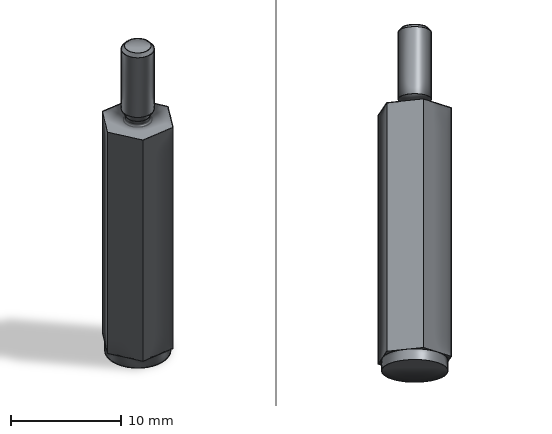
import cadquery as cq
import math

total_height = 33
stud_height = 8.0
body_height = total_height - stud_height

across_flats = 6.0
across_corners = across_flats / math.cos(math.pi / 6)
foot_diameter = across_flats
foot_height = 1.02

stud_diameter = 3.0
neck_diameter = 2.2
tip_diameter = 2.4
tip_chamfer_height = 0.33
neck_root_fillet = 0.2
neck_height = 0.5
neck_cone_top = 1.2


def make_foot():
    return cq.Workplane("XY").circle(foot_diameter / 2).extrude(foot_height)


def make_hex_body():
    return (
        cq.Workplane("XY")
        .workplane(offset=foot_height)
        .polygon(6, across_corners)
        .extrude(body_height - foot_height)
    )


def make_stud():
    stud_radius = stud_diameter / 2
    neck_radius = neck_diameter / 2
    profile = (
        cq.Workplane("XZ")
        .moveTo(0, body_height)
        .lineTo(neck_radius + neck_root_fillet, body_height)
        .radiusArc((neck_radius, body_height + neck_root_fillet), neck_root_fillet)
        .lineTo(neck_radius, body_height + neck_height)
        .lineTo(stud_radius, body_height + neck_cone_top)
        .lineTo(stud_radius, total_height - tip_chamfer_height)
        .lineTo(tip_diameter / 2, total_height)
        .lineTo(0, total_height)
        .close()
    )
    return profile.revolve(360, (0, 0, 0), (0, 1, 0))


result = make_foot().union(make_hex_body()).union(make_stud())